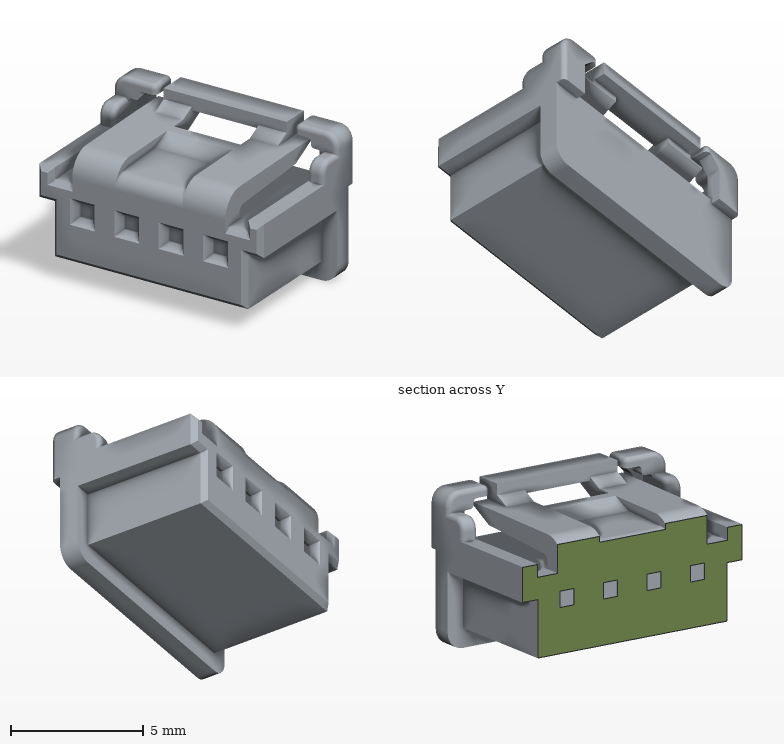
import cadquery as cq

WIDTH = 10.1
DEPTH = 6.5
HEIGHT = 6.2
HALF = WIDTH / 2

EDGE_BREAK = 0.2

FLANGE_BACK = DEPTH - 0.4
FLANGE_FRONT = DEPTH - 1.2
FLANGE_CORNER_R = 0.7
BODY_HALF = 4.35
BODY_BOTTOM = 0.8
WING_BOTTOM = 3.1
FLOOR_Z = 4.0
RAIL_TOP = 4.5

PIN_COUNT = 4
PIN_PITCH = 2.0
PIN_Z = 2.95
PIN_MOUTH = 1.11
PIN_THROAT = 0.63
PIN_TAPER_DEPTH = 0.3
PIN_DEPTH = 0.4

LATCH_HALF = 3.44
LATCH_ROOT_Z = FLOOR_Z - EDGE_BREAK
LATCH_FRONT_Z = 4.37
LATCH_FRONT_R = 1.0
LATCH_TOP = 5.43
LATCH_TIP_Y = DEPTH - 0.5
LATCH_TIP_BOTTOM = 5.36
RAMP_START_Y = 4.7
RAMP_TOP = 5.75
UNDERSIDE_KINK = (4.9, 4.79)
GAP_END_Y = 1.26
GAP_HEIGHT = 0.57

WINDOW_HALF = 1.5
RECESS_R = 0.58
RECESS_RAMP_FOOT = (2.76, 5.03)
RECESS_RAMP_TOP_Y = 3.68
BRIDGE_BACK_Y = 4.06
LEDGE_Z = 5.01
WINDOW_FRONT_Y = 4.81

BAR_HALF = 2.77
BAR_DEPTH = 1.19
BAR_HEIGHT = 0.6

HOOK_TIP = 3.12
HOOK_BOTTOM = HEIGHT - 0.4
POST_INNER = 3.86
POST_BOTTOM = 3.8
POST_CORNER_R = 0.6
POST_WALL_FRONT = DEPTH - 0.6
GUSSET_BOTTOM = 5.32
GUSSET_END = 3.38
RIB_FRONT = 4.3
RIB_TOP = 5.4
RIB_CORNER_R = 0.5
NOTCH_R = 0.16


def box(x0, x1, y0, y1, z0, z1):
    return cq.Workplane("XY").box(x1 - x0, y1 - y0, z1 - z0, centered=False).translate((x0, y0, z0))


def extrude_y(outline, y0, y1):
    """Extrude an XZ outline, drawn on the plane Y = y0, back to y1."""
    return outline.close().extrude(y0 - y1)


def xz_plane(y):
    return cq.Workplane("XZ", origin=(0, y, 0))


def yz_plane(x):
    return cq.Workplane("YZ", origin=(x, 0, 0))


def make_body():
    outline = xz_plane(0).polyline([
        (-BODY_HALF, BODY_BOTTOM), (BODY_HALF, BODY_BOTTOM), (BODY_HALF, WING_BOTTOM),
        (HALF, WING_BOTTOM), (HALF, RAIL_TOP), (BODY_HALF, RAIL_TOP), (BODY_HALF, FLOOR_Z),
        (-BODY_HALF, FLOOR_Z), (-BODY_HALF, RAIL_TOP), (-HALF, RAIL_TOP),
        (-HALF, WING_BOTTOM), (-BODY_HALF, WING_BOTTOM),
    ])
    body = extrude_y(outline, 0, FLANGE_BACK).faces("<Y").edges().chamfer(EDGE_BREAK)
    flange = box(-HALF, HALF, FLANGE_FRONT, FLANGE_BACK, 0, FLOOR_Z)
    flange = flange.edges("|Y and <Z").fillet(FLANGE_CORNER_R)
    return body.union(flange)


def pin_cavity(x):
    taper = (
        cq.Workplane("XZ", origin=(x, 0, PIN_Z))
        .rect(PIN_MOUTH, PIN_MOUTH)
        .workplane(offset=-PIN_TAPER_DEPTH)
        .rect(PIN_THROAT, PIN_THROAT)
        .loft(ruled=True)
    )
    half = PIN_THROAT / 2
    throat = box(x - half, x + half, PIN_TAPER_DEPTH, PIN_DEPTH, PIN_Z - half, PIN_Z + half)
    return taper.union(throat)


def make_latch():
    """Cantilever latch joined to the body at the front, with a gap under it."""
    gap_mid = FLOOR_Z + GAP_HEIGHT / 2
    tongue = (
        yz_plane(-LATCH_HALF)
        .moveTo(0, LATCH_ROOT_Z)
        .lineTo(0, LATCH_FRONT_Z)
        .radiusArc((LATCH_FRONT_R, LATCH_FRONT_Z + LATCH_FRONT_R), LATCH_FRONT_R)
        .lineTo(RAMP_START_Y, LATCH_TOP)
        .lineTo(LATCH_TIP_Y, LATCH_TOP)
        .lineTo(LATCH_TIP_Y, LATCH_TIP_BOTTOM)
        .lineTo(*UNDERSIDE_KINK)
        .lineTo(GAP_END_Y, FLOOR_Z + GAP_HEIGHT)
        .threePointArc((GAP_END_Y - GAP_HEIGHT / 2, gap_mid), (GAP_END_Y, FLOOR_Z))
        .lineTo(GAP_END_Y, LATCH_ROOT_Z)
        .close()
        .extrude(2 * LATCH_HALF)
    )
    bar_front = DEPTH - BAR_DEPTH
    ramps = (
        yz_plane(-BAR_HALF)
        .polyline([
            (RAMP_START_Y, LATCH_TOP), (bar_front, RAMP_TOP),
            (LATCH_TIP_Y, RAMP_TOP), (LATCH_TIP_Y, LATCH_TOP),
        ])
        .close()
        .extrude(2 * BAR_HALF)
    )
    bar = box(-BAR_HALF, BAR_HALF, bar_front, DEPTH, HEIGHT - BAR_HEIGHT, HEIGHT)
    latch = tongue.union(ramps)
    return latch.cut(latch_recess()).cut(latch_window()).union(bar)


def latch_recess():
    """Space above the lowered front part of the latch, ending in a ramp at the bridge."""
    return (
        yz_plane(-WINDOW_HALF)
        .moveTo(0, LATCH_FRONT_Z)
        .radiusArc((RECESS_R, LATCH_FRONT_Z + RECESS_R), RECESS_R)
        .lineTo(*RECESS_RAMP_FOOT)
        .lineTo(RECESS_RAMP_TOP_Y, LATCH_TOP)
        .lineTo(0, LATCH_TOP)
        .close()
        .extrude(2 * WINDOW_HALF)
    )


def latch_window():
    """Step down behind the bridge and the open window below the press bar."""
    step = box(-WINDOW_HALF, WINDOW_HALF, BRIDGE_BACK_Y, DEPTH, LEDGE_Z, HEIGHT)
    opening = box(-WINDOW_HALF, WINDOW_HALF, WINDOW_FRONT_Y, DEPTH, FLOOR_Z, HEIGHT)
    return step.union(opening)


def make_guard():
    """Left guard: back wall with gusset, hook and rounded rib on the rail."""
    envelope = box(-HALF, -HOOK_TIP, FLANGE_FRONT, DEPTH, POST_BOTTOM, HEIGHT)
    envelope = envelope.edges("|Y and >Z and <X").fillet(POST_CORNER_R)
    envelope = envelope.edges("(<Y or >Y or (>X and >Z)) and (not <Z)").fillet(EDGE_BREAK)
    back_wall = extrude_y(
        xz_plane(POST_WALL_FRONT).polyline([
            (-HALF, POST_BOTTOM), (-POST_INNER, POST_BOTTOM), (-POST_INNER, GUSSET_BOTTOM),
            (-GUSSET_END, HOOK_BOTTOM), (-HOOK_TIP, HOOK_BOTTOM),
            (-HOOK_TIP, HEIGHT), (-HALF, HEIGHT),
        ]),
        POST_WALL_FRONT, DEPTH,
    )
    hook = extrude_y(
        xz_plane(FLANGE_FRONT)
        .moveTo(-HALF, POST_BOTTOM)
        .lineTo(-BODY_HALF, POST_BOTTOM)
        .lineTo(-BODY_HALF, RIB_TOP - NOTCH_R)
        .radiusArc((-BODY_HALF + NOTCH_R, RIB_TOP), NOTCH_R)
        .lineTo(-POST_INNER - NOTCH_R, RIB_TOP)
        .radiusArc((-POST_INNER, RIB_TOP + NOTCH_R), -NOTCH_R)
        .lineTo(-POST_INNER, HOOK_BOTTOM - NOTCH_R)
        .radiusArc((-POST_INNER + NOTCH_R, HOOK_BOTTOM), NOTCH_R)
        .lineTo(-HOOK_TIP, HOOK_BOTTOM)
        .lineTo(-HOOK_TIP, HEIGHT)
        .lineTo(-HALF, HEIGHT),
        FLANGE_FRONT, DEPTH,
    )
    rib = box(-HALF, -BODY_HALF, RIB_FRONT, POST_WALL_FRONT, RAIL_TOP, RIB_TOP)
    rib = rib.edges("|X and >Z and <Y").fillet(RIB_CORNER_R)
    rib = rib.edges("(<X or >X) and (not <Z) and (not >Y)").fillet(EDGE_BREAK)
    return back_wall.union(hook).intersect(envelope).union(rib)


result = make_body().union(make_latch())
for i in range(PIN_COUNT):
    pin_x = (i - (PIN_COUNT - 1) / 2) * PIN_PITCH
    result = result.cut(pin_cavity(pin_x))
left_guard = make_guard()
result = result.union(left_guard).union(left_guard.mirror("YZ"))